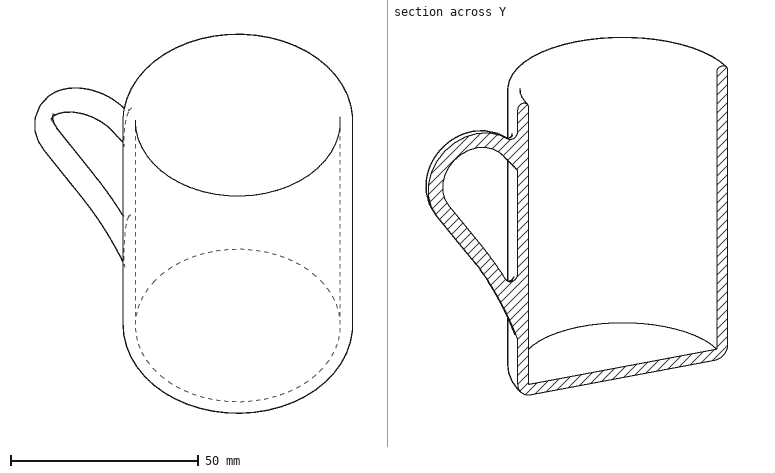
import cadquery as cq
import math

height = 86.6
outer_radius = 30.7
wall = 3.3
inner_radius = outer_radius - wall
floor_thickness = wall
foot_round = 3.9
rim_round = wall / 2

handle_reach = 56.7
handle_thickness = 4.4
handle_width = 8.0
loop_radius = 12.0
loop_x = -handle_reach + handle_thickness / 2 + loop_radius
loop_z = 66.05
upper_angle = math.radians(40)
lower_angle = math.radians(215)
upper_run = 9.6
grip_run = 17.5
foot_x = -26.8
foot_z = 12.2
joint_round = 1.75
zone_margin = 0.9


def on_loop(angle):
    """Point of the round handle top at an angle measured from +X."""
    return (
        loop_x + loop_radius * math.cos(angle),
        loop_z + loop_radius * math.sin(angle),
    )


def make_cup_body():
    body = cq.Workplane("XY").circle(outer_radius).extrude(height)
    return body.faces("<Z").edges().fillet(foot_round)


def make_cavity():
    """Space removed from the solid cup: the interior and both sides of the round rim."""
    rim_start = height - rim_round
    rim_middle = outer_radius - rim_round
    diagonal = rim_round * math.sqrt(0.5)
    cavity = (
        cq.Workplane("XZ")
        .moveTo(0, floor_thickness)
        .lineTo(inner_radius, floor_thickness)
        .lineTo(inner_radius, rim_start)
        .threePointArc((rim_middle - diagonal, rim_start + diagonal), (rim_middle, height))
        .lineTo(0, height)
        .close()
        .revolve(360, (0, 0), (0, 1))
    )
    outer_corner = (
        cq.Workplane("XZ")
        .moveTo(rim_middle, height)
        .threePointArc((rim_middle + diagonal, rim_start + diagonal), (outer_radius, rim_start))
        .lineTo(outer_radius, height)
        .close()
        .revolve(360, (0, 0), (0, 1))
    )
    return cavity.union(outer_corner)


def make_handle():
    loop_start = on_loop(upper_angle)
    loop_end = on_loop(lower_angle)
    upper_end = (
        loop_start[0] + upper_run * math.sin(upper_angle),
        loop_start[1] - upper_run * math.cos(upper_angle),
    )
    grip_direction = (-math.sin(lower_angle), math.cos(lower_angle))
    grip_end = (
        loop_end[0] + grip_run * grip_direction[0],
        loop_end[1] + grip_run * grip_direction[1],
    )
    path = (
        cq.Workplane("XZ")
        .moveTo(*upper_end)
        .lineTo(*loop_start)
        .threePointArc(on_loop((upper_angle + lower_angle) / 2), loop_end)
        .lineTo(*grip_end)
        .tangentArcPoint((foot_x, foot_z), relative=False)
    )
    section_plane = cq.Plane(
        origin=(upper_end[0], 0, upper_end[1]),
        xDir=(0, 1, 0),
        normal=(-math.sin(upper_angle), 0, math.cos(upper_angle)),
    )
    return (
        cq.Workplane(section_plane)
        .ellipse(handle_width / 2, handle_thickness / 2)
        .sweep(path)
    )


cup_wall_zone = cq.selectors.BoxSelector(
    (-outer_radius - zone_margin, -handle_width, foot_round + zone_margin),
    (-inner_radius, handle_width, height - rim_round - zone_margin),
    boundingbox=True,
)
blank = make_cup_body().union(make_handle())
blank = blank.edges(cup_wall_zone).fillet(joint_round)

result = blank.cut(make_cavity())